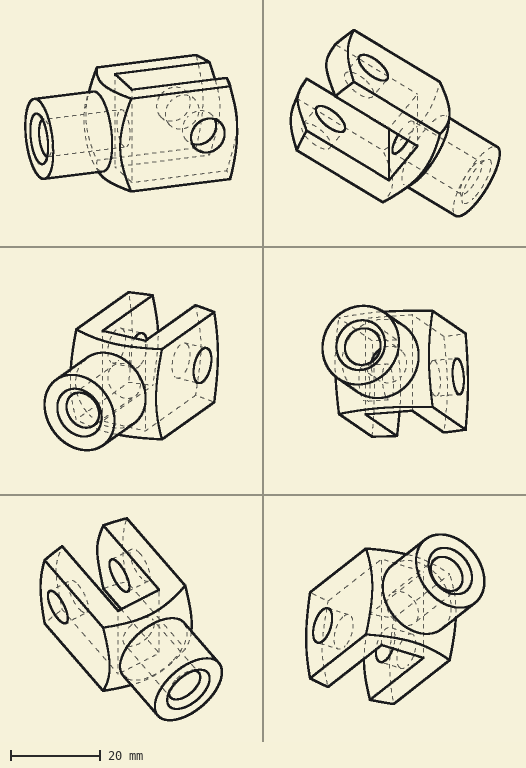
import cadquery as cq
import math

length = 45.0
body_width = 22.0
shank_diameter = 18.0
shank_length = 14.0
neck_angle = 30.0

slot_width = 11.0
slot_floor = 20.0
tip_angle = 20.0

pin_diameter = 8.0
pin_position = 36.0

bore_diameter = 8.35
countersink_diameter = 11.4

shank_radius = shank_diameter / 2
corner_radius = body_width / math.sqrt(2)
turned_radius = corner_radius + 0.45


def cone_drop(inner_radius, angle):
    """Axial run of a cone from inner_radius out to the turned radius."""
    return (turned_radius - inner_radius) * math.tan(math.radians(angle))


def turned_envelope():
    """Shank, neck cone and tip cone revolved about Y."""
    tip_radius = slot_width / 2
    return (
        cq.Workplane("XY")
        .polyline([
            (0, 0),
            (shank_radius, 0),
            (shank_radius, shank_length),
            (turned_radius, shank_length + cone_drop(shank_radius, neck_angle)),
            (turned_radius, length - cone_drop(tip_radius, tip_angle)),
            (tip_radius, length),
            (0, length),
        ])
        .close()
        .revolve(360, (0, 0, 0), (0, 1, 0))
    )


def square_bar():
    return cq.Workplane("XY").box(body_width, length, body_width).translate((0, length / 2, 0))


def fork_slot():
    slot_depth = length - slot_floor
    return (
        cq.Workplane("XY")
        .box(slot_width, slot_depth, body_width)
        .translate((0, slot_floor + slot_depth / 2, 0))
    )


def pin_hole():
    return (
        cq.Workplane("YZ")
        .center(pin_position, 0)
        .circle(pin_diameter / 2)
        .extrude(body_width / 2, both=True)
    )


def shank_bore():
    """Bore from the shank end into the slot, with a 45 degree countersink."""
    bore_radius = bore_diameter / 2
    countersink_radius = countersink_diameter / 2
    return (
        cq.Workplane("XY")
        .polyline([
            (0, 0),
            (countersink_radius, 0),
            (bore_radius, countersink_radius - bore_radius),
            (bore_radius, slot_floor),
            (0, slot_floor),
        ])
        .close()
        .revolve(360, (0, 0, 0), (0, 1, 0))
    )


body = turned_envelope().intersect(square_bar())
result = body.cut(fork_slot()).cut(pin_hole()).cut(shank_bore())